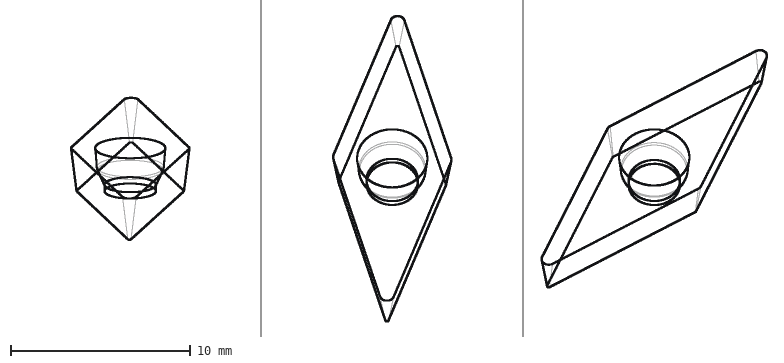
import cadquery as cq
import math

length = 18.42
width = 6.35
thickness = 2.5
tip_angle = 35.0
relief_angle = 7.0

tip_reach = 1 / math.tan(math.radians(tip_angle / 2))
corner_radius = (width / 2 * tip_reach - length / 2) / (tip_reach - 1)

mouth_radius = 3.92 / 2
wall_end_radius = 3.74 / 2
wall_depth = 1.1
step_end_radius = 3.65 / 2
step_depth = 1.27
bore_radius = 2.87 / 2
seat_depth = 2.14


def rhombus_corners():
    """Sharp corners of the top face, counter-clockwise, centred on the origin."""
    half_width = width / 2
    side_length = width / math.sin(math.radians(tip_angle))
    rise = width / math.tan(math.radians(tip_angle))
    tip_y = (side_length + rise) / 2
    blunt_y = (side_length - rise) / 2
    return [
        (-half_width, tip_y),
        (-half_width, -blunt_y),
        (half_width, -tip_y),
        (half_width, blunt_y),
    ]


def insert_body():
    """Rounded rhombus tapering downwards from the top face at Z = thickness."""
    corners = rhombus_corners()
    top_face = cq.Sketch().polygon(corners + corners[:1])
    top_face = top_face.vertices().fillet(corner_radius)
    return (
        cq.Workplane("XY", origin=(0, 0, thickness))
        .placeSketch(top_face)
        .extrude(-thickness, taper=relief_angle)
    )


def screw_hole():
    """Bore, conical seat, narrow band and tapered upper wall, revolved about Z."""
    return (
        cq.Workplane("XZ")
        .lineTo(bore_radius, 0)
        .lineTo(bore_radius, thickness - seat_depth)
        .lineTo(step_end_radius, thickness - step_depth)
        .lineTo(wall_end_radius, thickness - wall_depth)
        .lineTo(mouth_radius, thickness)
        .lineTo(0, thickness)
        .close()
        .revolve(360, (0, 0, 0), (0, 1, 0))
    )


result = insert_body().cut(screw_hole())